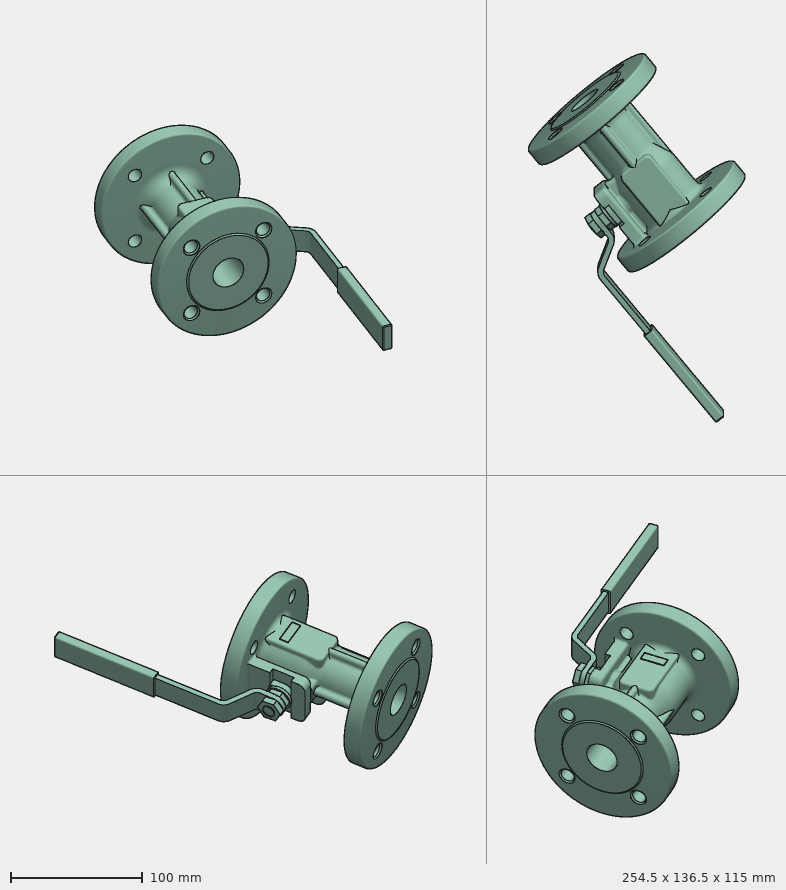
import cadquery as cq
import math

overall_length = 254.5

valve_length = 125.0
flange_radius = 57.5
flange_face_x = 1.0
flange_edge_front_x = 2.0
flange_edge_back_x = 16.0
flange_back_x = 16.8
flange_edge_round = 1.5
sealing_face_radius = 32.8
sealing_foot_radius = 34.0
bore_radius = 12.7
bolt_circle_radius = 42.2
bolt_hole_radius = 5.47
bolt_hole_countersink = 1.3
bolts_per_flange = 4

neck_radius = 20.0
ball_housing_radius = 25.7
cone_start_x = 58.3
cone_end_x = 72.3
cone_blend_radius = 14.0
neck_flange_blend = 10.0
housing_flange_blend = 5.5

rib_half_width = 2.93
rib_foot_round = 2.5
rib_end_x = 74.3
rib_root_round = 2.3

pad_start_x = 58.5
pad_half_width = 14.5
pad_corner_round = 4.8
pad_edge_round = 2.0
foot_round = 1.8

nameplate_start_x = 90.0
nameplate_length = 7.5
nameplate_width = 19.5
nameplate_height = 0.8

bonnet_start_x = 59.3
bonnet_top_y = 39.2
bonnet_bottom_y = 28.2
bonnet_half_width = 20.5
bonnet_corner_round = 6.4
bonnet_edge_round = 3.0
web_half_width = 9.0
web_corner_round = 3.3
web_top_round = 2.0
stem_housing_round = 2.0
stem_x = 80.5
stem_housing_radius = 11.7
notch_floor_y = 34.5
bonnet_root_round = 2.0

stop_radius = 9.2
stop_corner_round = 2.0
washer_bottom_y = 40.5
washer_radius = 10.5
lower_nut_bottom_y = 43.0
nut_radius = 10.0
nut_turn = 5.5
upper_nut_top_y = 57.5
stem_end_radius = 5.0
stem_end_y = 58.3

lever_thickness = 4.3
lever_width = 19.0
lever_low_y = 50.1
lever_high_y = 75.0
lever_slope = 60.0
lever_low_bend_x = 95.2
lever_bend_radius = 7.0
grip_start_x = 168.2
grip_width = 22.5
grip_thickness = 8.0
grip_edge_round = 1.5

flange_inner_x = valve_length - flange_back_x
inside_left_flange_x = (flange_edge_front_x + flange_edge_back_x) / 2
inside_right_flange_x = valve_length - inside_left_flange_x
flare_depth_in_flange = 2.5
tolerance = 0.003


def y_cylinder(radius, bottom_y, top_y):
    """Cylinder on the stem axis."""
    base = cq.Workplane("XZ", origin=(stem_x, bottom_y, 0))
    return base.circle(radius).extrude(bottom_y - top_y)


def make_flange():
    """Left flange, with slightly conical faces, a raised sealing face and countersunk bolt holes."""
    flange = (
        cq.Workplane("XY")
        .moveTo(0, 0)
        .lineTo(0, sealing_face_radius)
        .lineTo(flange_face_x, sealing_foot_radius)
        .lineTo(flange_edge_front_x, flange_radius)
        .lineTo(flange_edge_back_x, flange_radius)
        .lineTo(flange_back_x, sealing_foot_radius)
        .lineTo(flange_back_x, 0)
        .close()
        .revolve(360, (0, 0, 0), (1, 0, 0))
    )
    rim = cq.selectors.RadiusNthSelector(-1)
    flange = flange.edges(rim).fillet(flange_edge_round)
    for hole in range(bolts_per_flange):
        angle = 45 + hole * 360 / bolts_per_flange
        flange = flange.cut(make_bolt_hole().rotate((0, 0, 0), (1, 0, 0), angle))
    return flange


def make_bolt_hole():
    """Bolt hole cutter on the +Y side, countersunk at the front face of the left flange."""
    countersink_x = (flange_face_x + flange_edge_front_x) / 2
    mouth_radius = bolt_hole_radius + bolt_hole_countersink
    return (
        cq.Workplane("XY")
        .moveTo(0, 0)
        .lineTo(0, mouth_radius)
        .lineTo(countersink_x, mouth_radius)
        .lineTo(countersink_x + bolt_hole_countersink, bolt_hole_radius)
        .lineTo(flange_back_x, bolt_hole_radius)
        .lineTo(flange_back_x, 0)
        .close()
        .revolve(360, (0, 0, 0), (1, 0, 0))
        .translate((0, bolt_circle_radius, 0))
    )


def seam_edges(joined, first, second):
    """Edges of the joined shape that lie on the skins of both of its parts."""
    first_skin = first.val().Shells()[0]
    second_skin = second.val().Shells()[0]
    seams = []
    for edge in joined.edges().vals():
        middle = cq.Vertex.makeVertex(*edge.positionAt(0.5).toTuple())
        if first_skin.distance(middle) < tolerance and second_skin.distance(middle) < tolerance:
            seams.append(edge)
    return seams


def join_with_round_root(flange, attachment, radius):
    """Join an attachment to a flange and round the inner corner between them."""
    joined = flange.union(attachment)
    return joined.newObject(seam_edges(joined, flange, attachment)).fillet(radius)


def make_hub():
    """Neck and ball housing, joined by a cone with round blends."""
    cone_angle = math.atan2(ball_housing_radius - neck_radius, cone_end_x - cone_start_x)
    tangent = cone_blend_radius * math.tan(cone_angle / 2)
    step_x = tangent * math.cos(cone_angle)
    step_r = tangent * math.sin(cone_angle)
    mid_x = cone_blend_radius * math.sin(cone_angle / 2)
    mid_r = cone_blend_radius * (1 - math.cos(cone_angle / 2))
    return (
        cq.Workplane("XY")
        .moveTo(inside_left_flange_x, 0)
        .lineTo(inside_left_flange_x, neck_radius)
        .lineTo(cone_start_x - tangent, neck_radius)
        .threePointArc(
            (cone_start_x - tangent + mid_x, neck_radius + mid_r),
            (cone_start_x + step_x, neck_radius + step_r),
        )
        .lineTo(cone_end_x - step_x, ball_housing_radius - step_r)
        .threePointArc(
            (cone_end_x + tangent - mid_x, ball_housing_radius - mid_r),
            (cone_end_x + tangent, ball_housing_radius),
        )
        .lineTo(inside_right_flange_x, ball_housing_radius)
        .lineTo(inside_right_flange_x, 0)
        .close()
        .revolve(360, (0, 0, 0), (1, 0, 0))
    )


def make_flare(flange_x, hub_radius, blend, direction):
    """Concave flare from a flange face to the hub; direction is +1 when the hub lies to the right."""
    diagonal = blend * (1 - math.sqrt(0.5))
    buried_x = flange_x - direction * flare_depth_in_flange
    return (
        cq.Workplane("XY")
        .moveTo(buried_x, 0)
        .lineTo(buried_x, hub_radius + blend)
        .lineTo(flange_x, hub_radius + blend)
        .threePointArc(
            (flange_x + direction * diagonal, hub_radius + diagonal),
            (flange_x + direction * blend, hub_radius),
        )
        .lineTo(flange_x + direction * blend, 0)
        .close()
        .revolve(360, (0, 0, 0), (1, 0, 0))
    )


def make_rib():
    """Round-topped rib on the +Z side of the neck, with concave feet tangent to the neck."""
    crown_z = ball_housing_radius - rib_half_width
    foot_y = rib_half_width + rib_foot_round
    foot_z = math.sqrt((neck_radius + rib_foot_round) ** 2 - foot_y**2)
    toe_angle = math.atan2(foot_y, foot_z)
    toe_y = neck_radius * math.sin(toe_angle)
    toe_z = neck_radius * math.cos(toe_angle)
    mid_angle = (math.pi / 2 + toe_angle) / 2
    mid_y = foot_y - rib_foot_round * math.sin(mid_angle)
    mid_z = foot_z - rib_foot_round * math.cos(mid_angle)
    return (
        cq.Workplane("YZ")
        .workplane(offset=inside_left_flange_x)
        .moveTo(-toe_y, 0)
        .lineTo(-toe_y, toe_z)
        .threePointArc((-mid_y, mid_z), (-rib_half_width, foot_z))
        .lineTo(-rib_half_width, crown_z)
        .threePointArc((0, ball_housing_radius), (rib_half_width, crown_z))
        .lineTo(rib_half_width, foot_z)
        .threePointArc((mid_y, mid_z), (toe_y, toe_z))
        .lineTo(toe_y, 0)
        .close()
        .extrude(rib_end_x - inside_left_flange_x)
    )


def make_pad():
    """Marking pad on the +Z side of the ball housing, running into the right flange."""
    length = inside_right_flange_x - pad_start_x
    return (
        cq.Workplane("XY")
        .box(length, 2 * pad_half_width, ball_housing_radius, centered=(False, True, False))
        .edges("|Z and <X")
        .fillet(pad_corner_round)
        .faces(">Z")
        .edges("not >X")
        .fillet(pad_edge_round)
        .translate((pad_start_x, 0, 0))
    )


def make_nameplate():
    """Thin raised rectangle on the upper pad."""
    return (
        cq.Workplane("XY")
        .box(nameplate_length, nameplate_width, 2 * nameplate_height, centered=(False, True, True))
        .translate((nameplate_start_x, 0, ball_housing_radius))
    )


def make_bonnet_plate():
    """Flat plate on top of the bonnet, running into the right flange."""
    return (
        cq.Workplane("XY")
        .box(
            inside_right_flange_x - bonnet_start_x,
            bonnet_top_y - bonnet_bottom_y,
            2 * bonnet_half_width,
            centered=(False, False, True),
        )
        .edges("|Y and <X")
        .fillet(bonnet_corner_round)
        .faces("<Y")
        .edges("not >X")
        .fillet(bonnet_edge_round)
        .translate((bonnet_start_x, bonnet_bottom_y, 0))
    )


def make_bonnet_web():
    """Narrow web under the plate, widened by the round stem housing."""
    web = (
        cq.Workplane("XY")
        .box(
            inside_right_flange_x - bonnet_start_x,
            bonnet_bottom_y,
            2 * web_half_width,
            centered=(False, False, True),
        )
        .edges("|Y and <X")
        .fillet(web_corner_round)
        .translate((bonnet_start_x, 0, 0))
    )
    stem_housing = y_cylinder(stem_housing_radius, 0, bonnet_bottom_y)
    inner_corner_x = math.sqrt(stem_housing_radius**2 - web_half_width**2)
    inner_corners = cq.selectors.BoxSelector(
        (stem_x - inner_corner_x - tolerance, 0, -web_half_width - tolerance),
        (stem_x + inner_corner_x + tolerance, bonnet_bottom_y, web_half_width + tolerance),
    )
    return web.union(stem_housing).edges("|Y").edges(inner_corners).fillet(stem_housing_round)


def make_bonnet():
    """Bonnet plate on its web, with the inner corner between them rounded."""
    plate = make_bonnet_plate()
    web = make_bonnet_web()
    bonnet = plate.union(web)
    under_plate = [
        edge
        for edge in seam_edges(bonnet, plate, web)
        if bonnet_start_x + bonnet_edge_round + tolerance < edge.Center().x < inside_right_flange_x - tolerance
    ]
    return bonnet.newObject(under_plate).fillet(web_top_round)


def make_notch():
    """Cutter for the notch across the bonnet plate that takes the stem."""
    return (
        cq.Workplane("XY")
        .box(
            2 * stop_radius,
            bonnet_top_y - notch_floor_y,
            2 * bonnet_half_width,
            centered=(True, False, True),
        )
        .translate((stem_x, notch_floor_y, 0))
    )


def join_with_round_foot(body, attachment):
    """Join an attachment to the hub body and round the inner corner along its foot.

    The end buried in the flange stays sharp, and so does the line where a pad top touches the hub.
    """
    joined = body.union(attachment)
    foot = [
        edge
        for edge in seam_edges(joined, make_hub(), attachment)
        if edge.Center().x < inside_right_flange_x - tolerance
        and abs(edge.Center().z) < ball_housing_radius - tolerance
    ]
    return joined.newObject(foot).fillet(foot_round)


def make_valve_body():
    left_flange = make_flange()
    right_flange = left_flange.mirror("YZ").translate((valve_length, 0, 0))
    right_flange = join_with_round_root(right_flange, make_bonnet_plate(), bonnet_root_round)
    for turn in (0, 90, 180, 270):
        rib = make_rib().rotate((0, 0, 0), (1, 0, 0), turn)
        left_flange = left_flange.union(join_with_round_root(make_flange(), rib, rib_root_round))

    body = make_hub()
    for turn in (0, 180):
        body = join_with_round_foot(body, make_pad().rotate((0, 0, 0), (1, 0, 0), turn))
    body = join_with_round_foot(body, make_bonnet())
    body = body.union(make_nameplate())
    body = body.union(make_flare(flange_back_x, neck_radius, neck_flange_blend, 1))
    body = body.union(make_flare(flange_inner_x, ball_housing_radius, housing_flange_blend, -1))
    body = body.union(left_flange).union(right_flange).cut(make_notch())
    bore = cq.Workplane("YZ").circle(bore_radius).extrude(valve_length)
    return body.cut(bore)


def make_nut(bottom_y, top_y):
    """Hexagon on the stem axis, turned slightly."""
    base = cq.Workplane("XZ", origin=(stem_x, bottom_y, 0))
    nut = base.polygon(6, 2 * nut_radius).extrude(bottom_y - top_y)
    return nut.rotate((stem_x, 0, 0), (stem_x, 1, 0), nut_turn)


def make_stop():
    """Travel stop in the bonnet notch: half round on the left, square with round corners on the right."""
    height = washer_bottom_y - notch_floor_y
    square_end = (
        cq.Workplane("XY")
        .box(stop_radius, height, 2 * stop_radius, centered=(False, False, True))
        .edges("|Y and >X")
        .fillet(stop_corner_round)
        .translate((stem_x, notch_floor_y, 0))
    )
    return y_cylinder(stop_radius, notch_floor_y, washer_bottom_y).union(square_end)


def make_lever():
    """Cranked flat bar with a half-round end on the stem axis."""
    slope = math.radians(lever_slope)
    rise = lever_high_y - lever_low_y
    high_bend_x = lever_low_bend_x + rise / math.tan(slope)
    tangent = lever_bend_radius * math.tan(slope / 2)
    step_x = tangent * math.cos(slope)
    step_y = tangent * math.sin(slope)
    mid_x = lever_bend_radius * math.sin(slope / 2)
    mid_y = lever_bend_radius * (1 - math.cos(slope / 2))
    path = (
        cq.Workplane("XY")
        .moveTo(stem_x, lever_low_y)
        .lineTo(lever_low_bend_x - tangent, lever_low_y)
        .threePointArc(
            (lever_low_bend_x - tangent + mid_x, lever_low_y + mid_y),
            (lever_low_bend_x + step_x, lever_low_y + step_y),
        )
        .lineTo(high_bend_x - step_x, lever_high_y - step_y)
        .threePointArc(
            (high_bend_x + tangent - mid_x, lever_high_y - mid_y),
            (high_bend_x + tangent, lever_high_y),
        )
        .lineTo(grip_start_x, lever_high_y)
    )
    bar = (
        cq.Workplane("YZ", origin=(stem_x, lever_low_y, 0))
        .rect(lever_thickness, lever_width)
        .sweep(path)
    )
    half_thickness = lever_thickness / 2
    round_end = y_cylinder(lever_width / 2, lever_low_y - half_thickness, lever_low_y + half_thickness)
    return bar.union(round_end)


def make_grip():
    """Sleeve-shaped grip with rounded long edges and a chamfered end."""
    length = overall_length - grip_start_x
    return (
        cq.Workplane("XY")
        .box(length, grip_thickness, grip_width, centered=(False, True, True))
        .edges("|X")
        .fillet(grip_edge_round)
        .faces(">X")
        .edges()
        .chamfer(grip_edge_round / 2)
        .translate((grip_start_x, lever_high_y, 0))
    )


def make_operator():
    lever_bottom_y = lever_low_y - lever_thickness / 2
    lever_top_y = lever_low_y + lever_thickness / 2
    operator = make_stop()
    operator = operator.union(y_cylinder(washer_radius, washer_bottom_y, lower_nut_bottom_y))
    operator = operator.union(make_nut(lower_nut_bottom_y, lever_bottom_y))
    operator = operator.union(make_lever())
    operator = operator.union(make_nut(lever_top_y, upper_nut_top_y))
    operator = operator.union(y_cylinder(stem_end_radius, upper_nut_top_y, stem_end_y))
    return operator.union(make_grip())


valve_body = make_valve_body()
operator = make_operator()
result = cq.Compound.makeCompound([valve_body.val(), operator.val()])